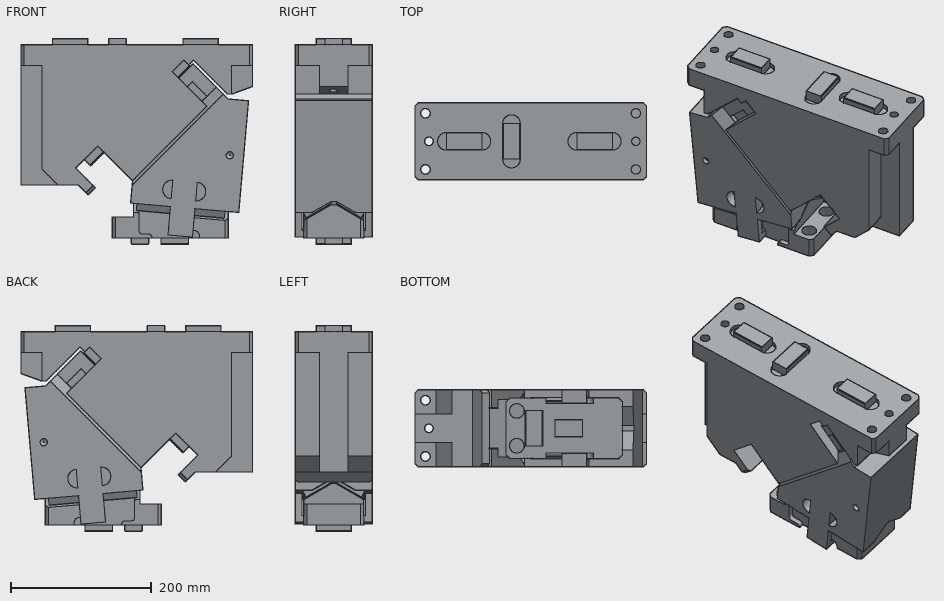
import cadquery as cq
import math

LENGTH = 330.0
WIDTH = 110.0
HALF_WIDTH = WIDTH / 2
FAR = 660.0
SLOPE = math.tan(math.radians(30))

PLATE_THICKNESS = 30.0
PLATE_CHAMFER = 5.0
END_WEB_LENGTH = 30.0
END_WEB_WIDTH = 40.3
HOLDER_BOTTOM = -200.0
RIGHT_OUTER_BOTTOM = -59.7
RIGHT_INNER_BOTTOM = -70.5
CORNER_CUT = 23.0

GUIDE_X = 158.7
GUIDE_Z = -193.7
NOTCH_LENGTH = 44.2
NOTCH_DEPTH = 69.5
LIP_THICKNESS = 14.5
LIP_END_N = 30.0
LIP_CHAMFER = 4.5
WINDOW_START = 149.8
WINDOW_TAB_END = 173.2
WINDOW_END = 182.8
WINDOW_TOP = 59.7
RAIL_HALF_WIDTH = 29.7
RAIL_OVERHANG = 27.0
RAIL_CHAMFER = 1.5

TONGUE_TOP = 56.8
TONGUE_HALF_WIDTH = 41.0
TONGUE_END = 178.5
FLANK_N = -4.3
FLANK_RISE = 14.2
FLANK_GAP = 4.3
SIDE_RECESS_DEPTH = 6.5
SIDE_RECESS_START = 132.0
SIDE_RECESS_END = 160.0
SIDE_RECESS_BOTTOM = 10.2
SIDE_RECESS_TOP = 39.3

DRIVE_ANGLE = 5.0
SLIDER_X = 156.0
SLIDER_Z = -225.5
SLIDER_LENGTH = 154.8
SLIDER_HEIGHT = 159.7
PAD_START = 9.2
PAD_END = 135.0
PAD_OUTER_Y = 44.0
PAD_EDGE_Y = 39.3
PAD_CHAMFER = 1.3
CHANNEL_HALF_WIDTH = 31.0
PIN_HOLE_DIAMETER = 10.2
PIN_HOLE_DEPTH = 10.0
PIN_TIP_DEPTH = 3.0
PIN_TIP_FLAT = 0.15
PIN_HOLE_X = 297.3
PIN_HOLE_Z = -157.5

LEG_START = 57.0
LEG_END = 92.0
LEG_BOTTOM = -40.5
LEG_INNER_Y = 45.0
HOOK_INNER_Y = 36.0
HOOK_TOP = -31.0
RELIEF_RADIUS = 13.2
RELIEF_V = 24.5
RELIEF_DEPTH = 16.5

DRIVER_BOTTOM = -275.2
DRIVER_HALF_WIDTH = 43.0
FOOT_START = 130.0
FOOT_TOP = -245.2
BLOCK_START = 160.0
DRIVER_END = 295.5
DRIVER_CHAMFER = 5.0
ROOF_RIDGE_HALF = 4.0
EAVE_V = -13.0
RIDGE_V = EAVE_V + SLOPE * (DRIVER_HALF_WIDTH - ROOF_RIDGE_HALF)
FOOT_HOLE_DIAMETER = 20.8
FOOT_HOLE_X = 145.2
FOOT_HOLE_Y = 24.8
POCKET_FLOOR_Y = 35.3
POCKET_START = 168.3
POCKET_MIDDLE = 214.5
POCKET_END = 254.0
POCKET_LEDGE_Z = -269.5
POCKET_LEDGE_END = 186.8
POCKET_RADIUS = 5.0
CHANNEL_RADIUS = 7.5

KEY_WIDTH = 25.0
KEY_LENGTH = 50.5
KEY_HEIGHT = 9.0
KEY_CHAMFER = 1.0
KEYWAY_DEPTH = 6.5
TOP_KEYS = [(70.3, 0), (137.5, 90), (255.8, 0)]
SHORT_KEY_LENGTH = 39.3
BOTTOM_KEYS = [(169.5, 90, KEY_LENGTH), (219.0, 0, SHORT_KEY_LENGTH)]

SCREW_HOLE_DIAMETER = 13.2
SCREW_HOLES = [(x, y) for x in (15.2, 314.5) for y in (-40.0, 40.0)]
DOWEL_DIAMETER = 12.0
DOWEL_HOLES = [(20.0, 0), (314.5, 0)]

drive_rad = math.radians(DRIVE_ANGLE)
drive_dir = cq.Vector(math.cos(drive_rad), 0, -math.sin(drive_rad))
drive_origin = cq.Vector(SLIDER_X, 0, SLIDER_Z)
drive_up = cq.Vector(math.sin(drive_rad), 0, math.cos(drive_rad))
guide_dir = cq.Vector(1, 0, 1).normalized()
guide_origin = cq.Vector(GUIDE_X, 0, GUIDE_Z)

GUIDE_SIDE = cq.Plane(guide_origin, guide_dir, (0, -1, 0))
DRIVE_SIDE = cq.Plane(drive_origin, drive_dir, (0, -1, 0))


def guide_section(s):
    """Plane across the guide at s; local x is Y, local y is n."""
    return cq.Plane(guide_origin + guide_dir * s, (0, 1, 0), guide_dir)


def drive_section(u):
    """Plane across the drive direction at u; local x is Y, local y is v."""
    return cq.Plane(drive_origin + drive_dir * u, (0, 1, 0), drive_dir)


def mirrored(right_half):
    """Closed symmetric outline from the points of its right half, top to bottom."""
    return right_half + [(-y, h) for y, h in reversed(right_half)]


def across(plane, points, y_from, y_to):
    """Prism of an outline in a side plane, between two Y values (plane normal is -Y)."""
    return (
        cq.Workplane(plane).workplane(offset=-y_to).polyline(points).close().extrude(y_to - y_from)
    )


def rectangle(a_min, b_min, a_max, b_max):
    return [(a_min, b_min), (a_max, b_min), (a_max, b_max), (a_min, b_max)]


def block(x_min, x_max, half_y, z_min, z_max):
    return (
        cq.Workplane("XY", origin=(0, 0, z_min))
        .polyline(rectangle(x_min, -half_y, x_max, half_y)).close().extrude(z_max - z_min)
    )


def both_sides(shape):
    return shape.union(shape.mirror("XZ"))


def key(length, height):
    """Rectangular key standing on Z = 0 with its long top edges chamfered."""
    return (
        cq.Workplane("XY").box(length, KEY_WIDTH, height, centered=(True, True, False))
        .faces(">Z").edges("|X").chamfer(KEY_CHAMFER)
    )


def slide_profile(s_from, s_to, flank_gap=0.0):
    """Tongue with its sloping flanks, raised by a gap, continued down through the whole slider."""
    section = mirrored([
        (TONGUE_HALF_WIDTH, TONGUE_TOP),
        (TONGUE_HALF_WIDTH, FLANK_N + FLANK_RISE + flank_gap),
        (HALF_WIDTH, FLANK_N + flank_gap),
        (HALF_WIDTH, -FAR),
    ])
    return cq.Workplane(guide_section(s_from)).polyline(section).close().extrude(s_to - s_from)


def holder_blank():
    outline = [(0, 0), (LENGTH, 0), (LENGTH, RIGHT_OUTER_BOTTOM),
               (LENGTH - END_WEB_LENGTH, RIGHT_INNER_BOTTOM),
               (LENGTH - END_WEB_LENGTH, HOLDER_BOTTOM), (0, HOLDER_BOTTOM)]
    plate = block(0, LENGTH, HALF_WIDTH, -PLATE_THICKNESS, 0).edges("|Z").chamfer(PLATE_CHAMFER)
    web = across(cq.Plane.XZ(), outline, -END_WEB_WIDTH / 2, END_WEB_WIDTH / 2)
    middle_outline = [
        (END_WEB_LENGTH, 0), (LENGTH - END_WEB_LENGTH, 0),
        (LENGTH - END_WEB_LENGTH, HOLDER_BOTTOM),
        (END_WEB_LENGTH + CORNER_CUT, HOLDER_BOTTOM),
        (END_WEB_LENGTH, HOLDER_BOTTOM + CORNER_CUT),
    ]
    middle = across(cq.Plane.XZ(), middle_outline, -HALF_WIDTH, HALF_WIDTH)
    return plate.union(web).union(middle)


def holder_lip():
    outline = rectangle(-NOTCH_LENGTH - LIP_THICKNESS, LIP_END_N, -NOTCH_LENGTH, NOTCH_DEPTH)
    lip = across(GUIDE_SIDE, outline, -HALF_WIDTH, HALF_WIDTH)
    return lip.faces(cq.selectors.DirectionMinMaxSelector(cq.Vector(1, 0, -1))).edges(
        cq.selectors.ParallelDirSelector(guide_dir)).chamfer(LIP_CHAMFER)


def below_guide():
    """Space under the guide: the open notch and everything below the incline."""
    outline = [(-NOTCH_LENGTH, NOTCH_DEPTH), (0, NOTCH_DEPTH), (0, 0), (WINDOW_END, 0),
               (WINDOW_END, -FAR), (-NOTCH_LENGTH, -FAR)]
    guide_meets_end = GUIDE_X + RIGHT_INNER_BOTTOM - GUIDE_Z
    under_right_end = block(guide_meets_end, LENGTH - END_WEB_LENGTH, HALF_WIDTH,
                            HOLDER_BOTTOM, RIGHT_INNER_BOTTOM)
    return across(GUIDE_SIDE, outline, -FAR, FAR).union(under_right_end)


def upper_window():
    main = across(GUIDE_SIDE, rectangle(WINDOW_START, -FAR, WINDOW_END, WINDOW_TOP), -FAR, FAR)
    tab = across(GUIDE_SIDE, rectangle(WINDOW_START, 0, WINDOW_TAB_END, NOTCH_DEPTH), -FAR, FAR)
    return main.union(tab)


def ceiling_rail():
    """Flat rail above the tongue, crossing the window and standing out into the notch."""
    section = mirrored([
        (RAIL_HALF_WIDTH, NOTCH_DEPTH),
        (RAIL_HALF_WIDTH, TONGUE_TOP + RAIL_CHAMFER),
        (RAIL_HALF_WIDTH - RAIL_CHAMFER, TONGUE_TOP),
    ])
    rail = cq.Workplane(guide_section(-RAIL_OVERHANG)).polyline(section).close()
    return rail.extrude(RAIL_OVERHANG + WINDOW_TAB_END)


def make_holder():
    holder = holder_blank().cut(below_guide()).union(holder_lip())
    holder = holder.cut(slide_profile(0, WINDOW_END, FLANK_GAP))
    holder = holder.cut(upper_window()).union(ceiling_rail())
    for x, turn in TOP_KEYS:
        slot = cq.Workplane("XY").slot2D(KEY_LENGTH + KEY_WIDTH, KEY_WIDTH).extrude(-KEYWAY_DEPTH)
        fitted = key(KEY_LENGTH, KEYWAY_DEPTH + KEY_HEIGHT).translate((0, 0, -KEYWAY_DEPTH))
        holder = holder.cut(slot.rotate((0, 0, 0), (0, 0, 1), turn).translate((x, 0, 0)))
        holder = holder.union(fitted.rotate((0, 0, 0), (0, 0, 1), turn).translate((x, 0, 0)))
    screws = cq.Workplane("XY").pushPoints(SCREW_HOLES).circle(SCREW_HOLE_DIAMETER / 2)
    dowels = cq.Workplane("XY").pushPoints(DOWEL_HOLES).circle(DOWEL_DIAMETER / 2)
    return holder.cut(screws.extrude(-FAR)).cut(dowels.extrude(-FAR))


def slider_blank():
    lower = across(DRIVE_SIDE, rectangle(0, 0, SLIDER_LENGTH, SLIDER_HEIGHT), -HALF_WIDTH, HALF_WIDTH)
    tall = across(DRIVE_SIDE, rectangle(0, 0, SLIDER_LENGTH, FAR), -HALF_WIDTH, HALF_WIDTH)
    tongue = tall.intersect(slide_profile(-FAR, TONGUE_END))
    return lower.intersect(slide_profile(-FAR, FAR)).union(tongue)


def roof_height(y):
    return EAVE_V + SLOPE * (DRIVER_HALF_WIDTH - y)


def underside_channel():
    """Roof-shaped channel along the underside."""
    peak = SLOPE * (CHANNEL_HALF_WIDTH - ROOF_RIDGE_HALF)
    section = mirrored([(ROOF_RIDGE_HALF, peak), (CHANNEL_HALF_WIDTH, 0)])
    return cq.Workplane(drive_section(0)).polyline(section).close().extrude(SLIDER_LENGTH)


def bearing_pads():
    """Sloping pads that bear on the roof of the driver."""
    peak = SLOPE * (CHANNEL_HALF_WIDTH - ROOF_RIDGE_HALF)
    half = [(ROOF_RIDGE_HALF, peak), (CHANNEL_HALF_WIDTH, 0), (PAD_OUTER_Y, 0),
            (PAD_EDGE_Y, roof_height(PAD_EDGE_Y)), (ROOF_RIDGE_HALF, RIDGE_V)]
    pad = cq.Workplane(drive_section(PAD_START)).polyline(half).close().extrude(PAD_END - PAD_START)
    bearing_face = cq.selectors.DirectionMinMaxSelector(cq.Vector(0, -SLOPE, 0) - drive_up)
    pad = pad.faces(bearing_face).edges().chamfer(PAD_CHAMFER)
    return both_sides(pad)


def retaining_legs():
    shank = across(DRIVE_SIDE, rectangle(LEG_START, LEG_BOTTOM, LEG_END, RELIEF_V),
                   LEG_INNER_Y, HALF_WIDTH)
    hook = across(DRIVE_SIDE, rectangle(LEG_START, LEG_BOTTOM, LEG_END, HOOK_TOP),
                  HOOK_INNER_Y, HALF_WIDTH)
    return both_sides(shank.union(hook))


def leg_reliefs():
    """Half-round pockets in the slider sides, one on either side of each leg."""
    face = cq.Workplane(DRIVE_SIDE).workplane(offset=HALF_WIDTH - RELIEF_DEPTH)
    discs = face.pushPoints([(LEG_START, RELIEF_V), (LEG_END, RELIEF_V)]).circle(RELIEF_RADIUS)
    leg = across(DRIVE_SIDE, rectangle(LEG_START, -FAR, LEG_END, FAR), -FAR, FAR)
    return both_sides(discs.extrude(RELIEF_DEPTH).cut(leg))


def tongue_recesses():
    outline = rectangle(SIDE_RECESS_START, SIDE_RECESS_BOTTOM, SIDE_RECESS_END, SIDE_RECESS_TOP)
    return both_sides(across(GUIDE_SIDE, outline, TONGUE_HALF_WIDTH - SIDE_RECESS_DEPTH,
                             TONGUE_HALF_WIDTH))


def make_slider():
    pin_hole = (
        cq.Workplane("XZ", origin=(PIN_HOLE_X, -HALF_WIDTH, PIN_HOLE_Z))
        .circle(PIN_HOLE_DIAMETER / 2).extrude(-PIN_HOLE_DEPTH)
        .faces(">Y").chamfer(PIN_TIP_DEPTH, PIN_HOLE_DIAMETER / 2 - PIN_TIP_FLAT)
    )
    slider = slider_blank().cut(underside_channel()).union(bearing_pads()).union(retaining_legs())
    return slider.cut(leg_reliefs()).cut(tongue_recesses()).cut(both_sides(pin_hole))


def driver_blank():
    foot = block(FOOT_START, BLOCK_START, DRIVER_HALF_WIDTH, DRIVER_BOTTOM, FOOT_TOP)
    foot = foot.edges("|Z and <X").chamfer(DRIVER_CHAMFER)
    tower = block(BLOCK_START, DRIVER_END, DRIVER_HALF_WIDTH, DRIVER_BOTTOM, 0)
    roof = mirrored([(ROOF_RIDGE_HALF, RIDGE_V), (DRIVER_HALF_WIDTH, EAVE_V),
                     (DRIVER_HALF_WIDTH, -FAR)])
    roof_prism = cq.Workplane(drive_section(-FAR)).polyline(roof).close().extrude(2 * FAR)
    corner_trim = block(FOOT_START, DRIVER_END, DRIVER_HALF_WIDTH, DRIVER_BOTTOM, 0)
    corner_trim = corner_trim.edges("|Z and >X").chamfer(DRIVER_CHAMFER)
    return foot.union(tower.intersect(roof_prism)).intersect(corner_trim)


def hook_top_height(x):
    """Z of the inclined plane along the tops of the hooks."""
    return SLIDER_Z + HOOK_TOP / math.cos(drive_rad) - (x - SLIDER_X) * math.tan(drive_rad)


def leg_pockets():
    """Side pockets for the legs: an open entry and a lower channel that the hooks run in."""
    depth = DRIVER_HALF_WIDTH - POCKET_FLOOR_Y
    start = cq.Workplane("XZ", origin=(0, -POCKET_FLOOR_Y, 0))
    entry = (
        start.moveTo(POCKET_START, 0).lineTo(POCKET_START, POCKET_LEDGE_Z + POCKET_RADIUS)
        .radiusArc((POCKET_START + POCKET_RADIUS, POCKET_LEDGE_Z), -POCKET_RADIUS)
        .lineTo(POCKET_LEDGE_END - POCKET_RADIUS, POCKET_LEDGE_Z)
        .radiusArc((POCKET_LEDGE_END, POCKET_LEDGE_Z - POCKET_RADIUS), POCKET_RADIUS)
        .lineTo(POCKET_LEDGE_END, DRIVER_BOTTOM)
        .lineTo(POCKET_MIDDLE, DRIVER_BOTTOM).lineTo(POCKET_MIDDLE, 0).close()
        .extrude(depth)
    )
    channel_end_top = hook_top_height(POCKET_END - CHANNEL_RADIUS)
    channel = (
        start.moveTo(POCKET_MIDDLE, DRIVER_BOTTOM).lineTo(POCKET_END, DRIVER_BOTTOM)
        .lineTo(POCKET_END, channel_end_top - CHANNEL_RADIUS)
        .radiusArc((POCKET_END - CHANNEL_RADIUS, channel_end_top), -CHANNEL_RADIUS)
        .lineTo(POCKET_MIDDLE, hook_top_height(POCKET_MIDDLE)).close().extrude(depth)
    )
    return both_sides(entry.union(channel))


def make_driver():
    driver = driver_blank().cut(leg_pockets())
    for x, turn, length in BOTTOM_KEYS:
        hanging = key(length, KEY_HEIGHT + KEY_CHAMFER).rotate((0, 0, 0), (1, 0, 0), 180)
        hanging = hanging.rotate((0, 0, 0), (0, 0, 1), turn)
        driver = driver.union(hanging.translate((x, 0, DRIVER_BOTTOM + KEY_CHAMFER)))
    holes = (
        cq.Workplane("XY", origin=(0, 0, FOOT_TOP))
        .pushPoints([(FOOT_HOLE_X, -FOOT_HOLE_Y), (FOOT_HOLE_X, FOOT_HOLE_Y)])
        .circle(FOOT_HOLE_DIAMETER / 2).extrude(-FAR)
    )
    return driver.cut(holes)


holder = make_holder()
slider = make_slider()
driver = make_driver()

result = cq.Compound.makeCompound([holder.val(), slider.val(), driver.val()])